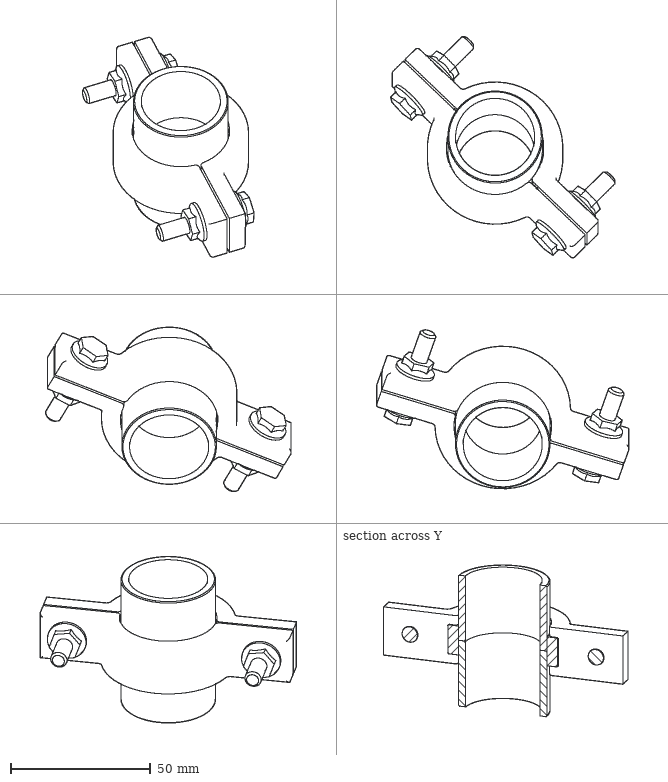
import cadquery as cq
import math

pipe_radius = 17.0
pipe_bore_radius = 14.2
pipe_length = 25.0
pipe_end_chamfer = 0.4

clamp_width = 91.57
clamp_height = 18.4
clamp_radius = 24.365
clamp_bore_radius = 17.5
clamp_gap = 0.8
flange_face_y = 7.0
neck_radius = 1.5
clamp_edge_radius = 1.3
bore_corner_radius = 1.4

gasket_radius = 21.1
gasket_height = 11.2
gasket_edge_chamfer = 0.4

bolt_x = 35.6
bolt_radius = 3.0
bolt_length = 30.0
bolt_tip_chamfer = 0.8
hex_across_flats = 10.0
hex_head_height = 5.0
washer_radius = 7.1
washer_rim_height = 1.1
washer_cone_slope = 0.8
bolt_hex_angle = 23.0
nut_hex_angle = 11.0

hex_corner_radius = hex_across_flats / 2 / math.cos(math.radians(30))


def make_pipe(direction):
    """Pipe running from the middle of the coupling up (+1) or down (-1)."""
    pipe = (
        cq.Workplane("XY")
        .circle(pipe_radius)
        .circle(pipe_bore_radius)
        .extrude(direction * pipe_length)
    )
    outer_end = cq.selectors.RadiusNthSelector(-1)
    end_face = ">Z" if direction > 0 else "<Z"
    return pipe.faces(end_face).edges(outer_end).chamfer(pipe_end_chamfer)


def make_gasket_envelope():
    """Solid disc with the outer shape of the gasket, also used to cut its groove."""
    disc = cq.Workplane("XY").circle(gasket_radius).extrude(gasket_height / 2, both=True)
    return disc.edges().chamfer(gasket_edge_chamfer)


def make_gasket():
    bore = cq.Workplane("XY").circle(pipe_radius).extrude(gasket_height, both=True)
    return make_gasket_envelope().cut(bore)


def clamp_outline():
    """Outline of the +Y clamp half without its bore: two flanges and a round crown."""
    end_x = clamp_width / 2
    gap_y = clamp_gap / 2
    neck_y = flange_face_y + neck_radius
    neck_x = math.sqrt((clamp_radius + neck_radius) ** 2 - neck_y**2)
    crown_share = clamp_radius / (clamp_radius + neck_radius)
    crown_x = neck_x * crown_share
    crown_y = neck_y * crown_share
    crown_angle = math.atan2(neck_y, neck_x)
    mid_angle = (math.pi / 2 + crown_angle) / 2
    neck_mid_x = neck_x - neck_radius * math.cos(mid_angle)
    neck_mid_y = neck_y - neck_radius * math.sin(mid_angle)
    return (
        cq.Workplane("XY")
        .workplane(offset=-clamp_height / 2)
        .moveTo(-end_x, gap_y)
        .lineTo(end_x, gap_y)
        .lineTo(end_x, flange_face_y)
        .lineTo(neck_x, flange_face_y)
        .threePointArc((neck_mid_x, neck_mid_y), (crown_x, crown_y))
        .threePointArc((0, clamp_radius), (-crown_x, crown_y))
        .threePointArc((-neck_mid_x, neck_mid_y), (-neck_x, flange_face_y))
        .lineTo(-end_x, flange_face_y)
        .close()
    )


def make_clamp_half():
    """Clamp half on the +Y side, with its bolt holes, bore and gasket groove."""
    body = clamp_outline().extrude(clamp_height)

    rim = body.faces("|Z").edges("not (|Y or <Y)")
    flange_ends = body.faces("<X or >X").edges("|Z and >Y")
    body = rim.add(flange_ends).fillet(clamp_edge_radius)

    bore = cq.Workplane("XY").circle(clamp_bore_radius).extrude(clamp_height, both=True)
    body = body.cut(bore)
    corner_zone = cq.selectors.BoxSelector(
        (-clamp_radius, 0, -clamp_height), (clamp_radius, clamp_gap, clamp_height)
    )
    body = body.edges("|Z").edges(corner_zone).fillet(bore_corner_radius)

    body = body.cut(make_gasket_envelope())
    bolt_holes = (
        cq.Workplane("XZ")
        .pushPoints([(-bolt_x, 0), (bolt_x, 0)])
        .circle(bolt_radius)
        .extrude(-2 * flange_face_y)
    )
    return body.cut(bolt_holes)


def make_flanged_hex(hex_angle):
    """Hexagon with a conical washer face, standing on Z = 0 and pointing up."""
    prism = (
        cq.Workplane("XY")
        .polygon(6, 2 * hex_corner_radius)
        .extrude(hex_head_height)
        .rotate((0, 0, 0), (0, 0, 1), hex_angle)
    )
    cone_top = washer_rim_height + washer_cone_slope * washer_radius
    washer = (
        cq.Workplane("XZ")
        .polyline([(0, 0), (washer_radius, 0), (washer_radius, washer_rim_height), (0, cone_top)])
        .close()
        .revolve(360, (0, 0), (0, 1))
    )
    trim = cq.Workplane("XY").circle(washer_radius).extrude(hex_head_height)
    return prism.union(washer.intersect(trim))


def make_bolt(x):
    """Flanged bolt along Y, head on the +Y side."""
    shank = (
        cq.Workplane("XY")
        .circle(bolt_radius)
        .extrude(-bolt_length)
        .faces("<Z")
        .chamfer(bolt_tip_chamfer)
    )
    bolt = make_flanged_hex(-bolt_hex_angle).union(shank)
    return bolt.rotate((0, 0, 0), (1, 0, 0), -90).translate((x, flange_face_y, 0))


def make_nut(x):
    """Flanged nut on the -Y side, washer face against the clamp."""
    hole = cq.Workplane("XY").circle(bolt_radius).extrude(hex_head_height)
    nut = make_flanged_hex(nut_hex_angle).cut(hole)
    return nut.rotate((0, 0, 0), (1, 0, 0), 90).translate((x, -flange_face_y, 0))


pipes = [make_pipe(direction) for direction in (1, -1)]
gasket = make_gasket()
rear_clamp_half = make_clamp_half()
front_clamp_half = rear_clamp_half.mirror("XZ")
bolts = [make_bolt(x) for x in (-bolt_x, bolt_x)]
nuts = [make_nut(x) for x in (-bolt_x, bolt_x)]

bodies = [*pipes, gasket, rear_clamp_half, front_clamp_half, *bolts, *nuts]
result = cq.Compound.makeCompound([body.val() for body in bodies])